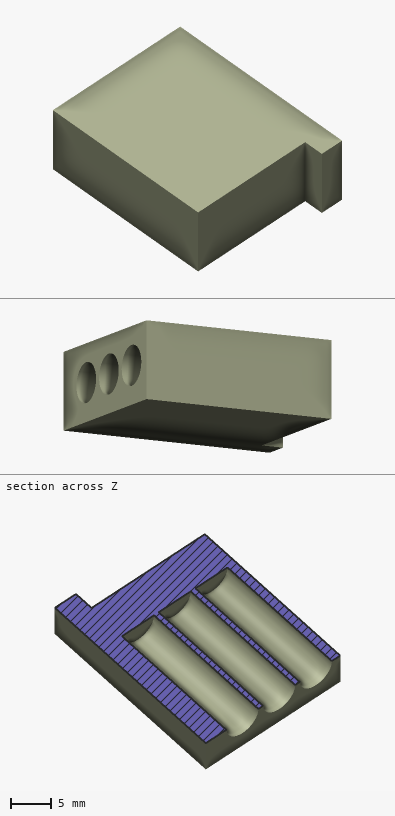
import cadquery as cq

total_length = 29.0
width = 22.0
height = 10.0

lip_projection = 3.0
lip_thickness = 3.5
body_length = total_length - lip_projection

hole_diameter = 5.2
hole_depth = 20.0
hole_count = 3
hole_pitch = 6.0
first_hole_y = 4.0


def make_block():
    """Rectangular body with its lip, cornered at the origin."""
    body = cq.Workplane("XY").box(body_length, width, height, centered=False)
    lip = (
        cq.Workplane("XY")
        .box(total_length, lip_thickness, height, centered=False)
        .translate((0, width - lip_thickness, 0))
    )
    return body.union(lip)


def make_holes():
    """Cylinders running along +X from the -X face, at mid height."""
    centers = [(first_hole_y + i * hole_pitch, height / 2) for i in range(hole_count)]
    return cq.Workplane("YZ").pushPoints(centers).circle(hole_diameter / 2).extrude(hole_depth)


result = make_block().cut(make_holes())